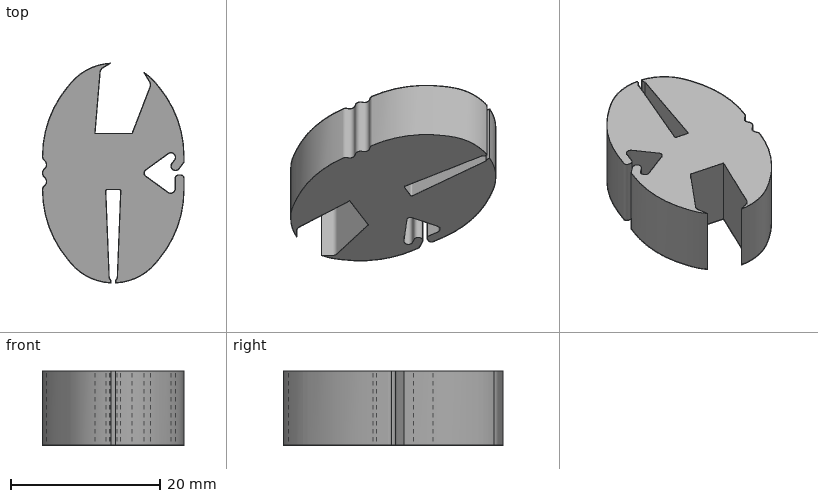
import cadquery as cq
import math

WIDTH = 19.0
HEIGHT = 29.5
THICKNESS = 10.0
SIDE_RADIUS = 14.5
END_RADIUS = 7.41
FLAT_HALF = 2.26

HALF_WIDTH = WIDTH / 2
HALF_HEIGHT = HEIGHT / 2
CLEARANCE = 1.0

NOTCH_DEPTH = 0.53
NOTCH_PITCH = FLAT_HALF

TOP_SLOT_FLOOR_Y = 5.33
TOP_SLOT_FLOOR_LEFT = -2.44
TOP_SLOT_FLOOR_RIGHT = 2.53
TOP_SLOT_LEFT_SHOULDER = (-1.72, 13.93)
TOP_SLOT_RIGHT_SHOULDER = (5.06, 11.9)
TOP_SLOT_LEFT_LIP = (-0.36, 14.74)
TOP_SLOT_RIGHT_LIP = (4.13, 13.48)
TOP_SLOT_SHOULDER_RADIUS = 0.8

BOTTOM_SLOT_ROOT_Y = -2.22
BOTTOM_SLOT_ROOT_HALF = 1.0
BOTTOM_SLOT_NECK_Y = -14.07
BOTTOM_SLOT_NECK_HALF = 0.53
BOTTOM_SLOT_LIP_Y = -14.4
BOTTOM_SLOT_LIP_HALF = 0.33
BOTTOM_SLOT_ROOT_RADIUS = 0.2
BOTTOM_SLOT_LIP_RADIUS = 0.2

ARROW_APEX_X = 3.8
ARROW_HALF_ANGLE = math.radians(36)
ARROW_APEX_RADIUS = 0.5
ARROW_LOBE_RADIUS = 0.6
LIP_THICKNESS = 1.2
FINGER_TOP_Y = -0.25
FINGER_RADIUS = 0.45
HOOK_ROOT_Y = 1.47
HOOK_ANGLE = math.radians(53)
HOOK_LENGTH = 1.725
HOOK_NOSE_RADIUS = LIP_THICKNESS / 2


def rounded_polygon(corners):
    """Closed outline through (x, y, radius) corners, each rounded by a tangent arc."""
    shortest_line = 1e-6
    outline = None
    end = None
    for i, (x, y, radius) in enumerate(corners):
        corner = cq.Vector(x, y)
        before = cq.Vector(*corners[i - 1][:2])
        after = cq.Vector(*corners[(i + 1) % len(corners)][:2])
        to_before = (before - corner).normalized()
        to_after = (after - corner).normalized()
        half_angle = to_before.getAngle(to_after) / 2
        setback = radius / math.tan(half_angle)
        start = (corner + to_before * setback).toTuple()[:2]
        last_end = end
        end = (corner + to_after * setback).toTuple()[:2]
        if outline is None:
            outline = cq.Workplane("XY").moveTo(*start)
        elif math.dist(last_end, start) > shortest_line:
            outline = outline.lineTo(*start)
        if radius > 0:
            bisector = (to_before + to_after).normalized()
            middle = corner + bisector * (radius / math.sin(half_angle) - radius)
            outline = outline.threePointArc(middle.toTuple()[:2], end)
    return outline.close()


def make_body():
    """Oval of side arcs and end arcs, joined by their common tangent lines."""
    side_center_x = HALF_WIDTH - SIDE_RADIUS
    end_center_y = HALF_HEIGHT - END_RADIUS
    across = -side_center_x
    up = end_center_y - FLAT_HALF
    center_distance = math.hypot(across, up)
    touch = math.atan2(up, across) - math.acos((SIDE_RADIUS - END_RADIUS) / center_distance)

    def side_point(angle):
        return (side_center_x + SIDE_RADIUS * math.cos(angle), FLAT_HALF + SIDE_RADIUS * math.sin(angle))

    side_mid = side_point(touch / 2)
    side_end = side_point(touch)
    end_start = (END_RADIUS * math.cos(touch), end_center_y + END_RADIUS * math.sin(touch))

    def mirrored(point, sign_x, sign_y):
        return (sign_x * point[0], sign_y * point[1])

    outline = cq.Workplane("XY").moveTo(HALF_WIDTH, -FLAT_HALF)
    for s in (1, -1):
        outline = (
            outline.lineTo(s * HALF_WIDTH, s * FLAT_HALF)
            .threePointArc(mirrored(side_mid, s, s), mirrored(side_end, s, s))
            .lineTo(*mirrored(end_start, s, s))
            .threePointArc((0, s * HALF_HEIGHT), mirrored(end_start, -s, s))
            .lineTo(*mirrored(side_end, -s, s))
            .threePointArc(mirrored(side_mid, -s, s), (-s * HALF_WIDTH, s * FLAT_HALF))
        )
    return outline.close().extrude(THICKNESS)


def make_notch(center_y):
    """Smooth side notch: a hollow arc that runs into a rounded edge above and below."""
    arc_run = NOTCH_PITCH / 4
    arc_rise = NOTCH_DEPTH / 2
    turn = 2 * math.atan(arc_rise / arc_run)
    radius = arc_run / math.sin(turn)
    edge_mid_x = -HALF_WIDTH + radius * (1 - math.cos(turn / 2))
    edge_mid_y = NOTCH_PITCH / 2 - radius * math.sin(turn / 2)
    inflection_x = -HALF_WIDTH + arc_rise
    return (
        cq.Workplane("XY")
        .moveTo(-HALF_WIDTH, center_y - NOTCH_PITCH / 2)
        .threePointArc((edge_mid_x, center_y - edge_mid_y), (inflection_x, center_y - arc_run))
        .threePointArc((-HALF_WIDTH + NOTCH_DEPTH, center_y), (inflection_x, center_y + arc_run))
        .threePointArc((edge_mid_x, center_y + edge_mid_y), (-HALF_WIDTH, center_y + NOTCH_PITCH / 2))
        .close()
        .extrude(THICKNESS)
    )


def beyond(start, through, distance):
    """Point on the line from start to through, the given distance past through."""
    direction = (cq.Vector(*through) - cq.Vector(*start)).normalized()
    return (cq.Vector(*through) + direction * distance).toTuple()[:2]


def make_top_slot():
    """Slanted slot whose mouth is narrowed by a pointed lip on each side."""
    left_mouth = beyond(TOP_SLOT_LEFT_SHOULDER, TOP_SLOT_LEFT_LIP, CLEARANCE)
    right_mouth = beyond(TOP_SLOT_RIGHT_SHOULDER, TOP_SLOT_RIGHT_LIP, CLEARANCE)
    return rounded_polygon([
        (TOP_SLOT_FLOOR_LEFT, TOP_SLOT_FLOOR_Y, 0),
        (TOP_SLOT_FLOOR_RIGHT, TOP_SLOT_FLOOR_Y, 0),
        (*TOP_SLOT_RIGHT_SHOULDER, TOP_SLOT_SHOULDER_RADIUS),
        (*right_mouth, 0),
        (right_mouth[0], HALF_HEIGHT + CLEARANCE, 0),
        (left_mouth[0], HALF_HEIGHT + CLEARANCE, 0),
        (*left_mouth, 0),
        (*TOP_SLOT_LEFT_SHOULDER, TOP_SLOT_SHOULDER_RADIUS),
    ]).extrude(THICKNESS)


def make_bottom_slot():
    """Narrow slot that tapers toward its mouth and ends between two small lips."""
    right_wall = [
        (BOTTOM_SLOT_ROOT_HALF, BOTTOM_SLOT_ROOT_Y, BOTTOM_SLOT_ROOT_RADIUS),
        (BOTTOM_SLOT_NECK_HALF, BOTTOM_SLOT_NECK_Y, 0),
        (BOTTOM_SLOT_LIP_HALF, BOTTOM_SLOT_LIP_Y, BOTTOM_SLOT_LIP_RADIUS),
        (BOTTOM_SLOT_LIP_HALF, -HALF_HEIGHT - CLEARANCE, 0),
    ]
    left_wall = [(-x, y, radius) for x, y, radius in reversed(right_wall)]
    return rounded_polygon(right_wall + left_wall).extrude(THICKNESS)


def make_arrow_pocket():
    """Arrow-shaped pocket between a slanted hook above and an upright finger below."""
    finger_inner_x = HALF_WIDTH - LIP_THICKNESS
    finger_exit_y = FINGER_TOP_Y - LIP_THICKNESS
    lower_lobe_y = -(finger_inner_x - ARROW_APEX_X) * math.tan(ARROW_HALF_ANGLE)

    along = cq.Vector(-math.cos(HOOK_ANGLE), -math.sin(HOOK_ANGLE))
    inward = cq.Vector(-math.sin(HOOK_ANGLE), math.cos(HOOK_ANGLE))
    hook_root = cq.Vector(HALF_WIDTH, HOOK_ROOT_Y)
    nose_outer = hook_root + along * HOOK_LENGTH
    nose_inner = nose_outer + inward * LIP_THICKNESS
    outside = hook_root - along * CLEARANCE

    apex_slope = math.tan(ARROW_HALF_ANGLE)
    hook_slope = math.tan(HOOK_ANGLE)
    upper_lobe_x = (
        (nose_inner.y - hook_slope * nose_inner.x + apex_slope * ARROW_APEX_X)
        / (apex_slope - hook_slope)
    )
    upper_lobe_y = apex_slope * (upper_lobe_x - ARROW_APEX_X)

    return rounded_polygon([
        (ARROW_APEX_X, 0, ARROW_APEX_RADIUS),
        (finger_inner_x, lower_lobe_y, ARROW_LOBE_RADIUS),
        (finger_inner_x, FINGER_TOP_Y, FINGER_RADIUS),
        (HALF_WIDTH, FINGER_TOP_Y, FINGER_RADIUS),
        (HALF_WIDTH, finger_exit_y, 0),
        (outside.x, finger_exit_y, 0),
        (outside.x, outside.y, 0),
        (nose_outer.x, nose_outer.y, HOOK_NOSE_RADIUS),
        (nose_inner.x, nose_inner.y, HOOK_NOSE_RADIUS),
        (upper_lobe_x, upper_lobe_y, ARROW_LOBE_RADIUS),
    ]).extrude(THICKNESS)


result = make_body()
for notch_y in (-NOTCH_PITCH / 2, NOTCH_PITCH / 2):
    result = result.cut(make_notch(notch_y))
result = result.cut(make_top_slot())
result = result.cut(make_bottom_slot())
result = result.cut(make_arrow_pocket())